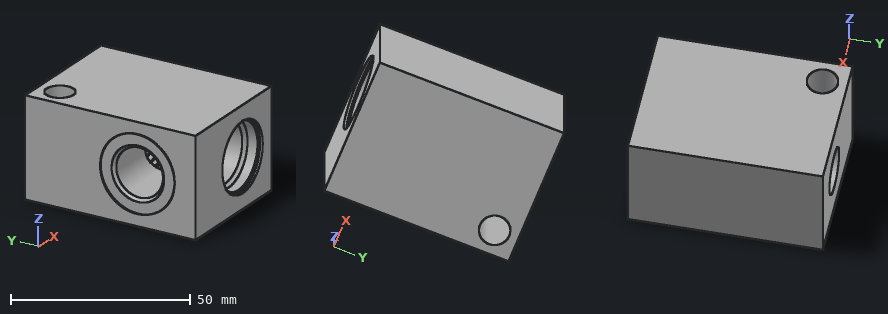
import cadquery as cq
import math

LENGTH_X = 41.15
LENGTH_Y = 55.58
HEIGHT = 31.75

LEFT = -LENGTH_X / 2
FRONT = -LENGTH_Y / 2
BACK = LENGTH_Y / 2

MOUNT_DIAMETER = 8.75
MOUNT_INSET = 7.14

CAVITY_INSET = 25.4
CAVITY_X = LEFT + CAVITY_INSET
MOUTH_RADIUS = 10.95
MOUTH_DEPTH = 0.85
COUNTERSINK_RADIUS = 10.57
THREAD_RADIUS = 10.25
THREAD_START = 1.3
THREAD_END = 4.55
BODY_RADIUS = 9.23
BODY_START = 5.66
BODY_END = 28.0
NOSE_RADII = (8.83, 8.63, 8.43)
LAND_LENGTH = 2.0
LEAD_IN_ANGLE = 45.0
OUTLET_RADIUS = 6.75

PORT_INSET = 19.0
PORT_Y = FRONT + PORT_INSET
SPOTFACE_RADIUS = 12.1
SPOTFACE_DEPTH = 0.35
PORT_MOUTH_RADIUS = 8.56
PORT_THREAD_RADIUS = 7.6
PORT_DRILL_RADIUS = 7.14
PORT_CHAMFER_ANGLE = 45.0
PORT_TAPER = 1 / 16
PORT_DEPTH = CAVITY_X - LEFT


def bore(profile):
    """Solid of revolution about Z from (radius, depth) points, closed back to the axis at both ends."""
    end_depth = profile[-1][1]
    start_depth = profile[0][1]
    outline = [(0, start_depth)] + profile + [(0, end_depth)]
    return cq.Workplane("XZ").polyline(outline).close().revolve(360, (0, 0), (0, 1))


def lead_in(large_radius, small_radius, angle):
    """Depth of a cone that narrows between two radii at the given half angle."""
    return (large_radius - small_radius) / math.tan(math.radians(angle))


def mounting_hole():
    hole = cq.Workplane("XY").circle(MOUNT_DIAMETER / 2).extrude(HEIGHT, both=True)
    return hole.translate((LEFT + MOUNT_INSET, BACK - MOUNT_INSET, 0))


def cavity():
    profile = [
        (MOUTH_RADIUS, 0),
        (MOUTH_RADIUS, MOUTH_DEPTH),
        (COUNTERSINK_RADIUS, MOUTH_DEPTH),
        (THREAD_RADIUS, THREAD_START),
        (THREAD_RADIUS, THREAD_END),
        (BODY_RADIUS, BODY_START),
        (BODY_RADIUS, BODY_END),
    ]
    for land_radius in NOSE_RADII:
        previous_radius, previous_end = profile[-1]
        land_start = previous_end + lead_in(previous_radius, land_radius, LEAD_IN_ANGLE)
        land_end = land_start + LAND_LENGTH
        profile.append((land_radius, land_start))
        profile.append((land_radius, land_end))
    floor_depth = profile[-1][1]
    profile.append((OUTLET_RADIUS, floor_depth))
    profile.append((OUTLET_RADIUS, LENGTH_Y))
    tool = bore(profile)
    return tool.rotate((0, 0, 0), (1, 0, 0), -90).translate((CAVITY_X, FRONT, 0))


def side_port():
    thread_start = SPOTFACE_DEPTH + lead_in(PORT_MOUTH_RADIUS, PORT_THREAD_RADIUS, PORT_CHAMFER_ANGLE)
    thread_length = 2 * (PORT_THREAD_RADIUS - PORT_DRILL_RADIUS) / PORT_TAPER
    thread_end = thread_start + thread_length
    tool = bore([
        (SPOTFACE_RADIUS, 0),
        (SPOTFACE_RADIUS, SPOTFACE_DEPTH),
        (PORT_MOUTH_RADIUS, SPOTFACE_DEPTH),
        (PORT_THREAD_RADIUS, thread_start),
        (PORT_DRILL_RADIUS, thread_end),
        (PORT_DRILL_RADIUS, PORT_DEPTH),
    ])
    return tool.rotate((0, 0, 0), (0, 1, 0), 90).translate((LEFT, PORT_Y, 0))


block = cq.Workplane("XY").box(LENGTH_X, LENGTH_Y, HEIGHT)
result = block.cut(mounting_hole()).cut(cavity()).cut(side_port())